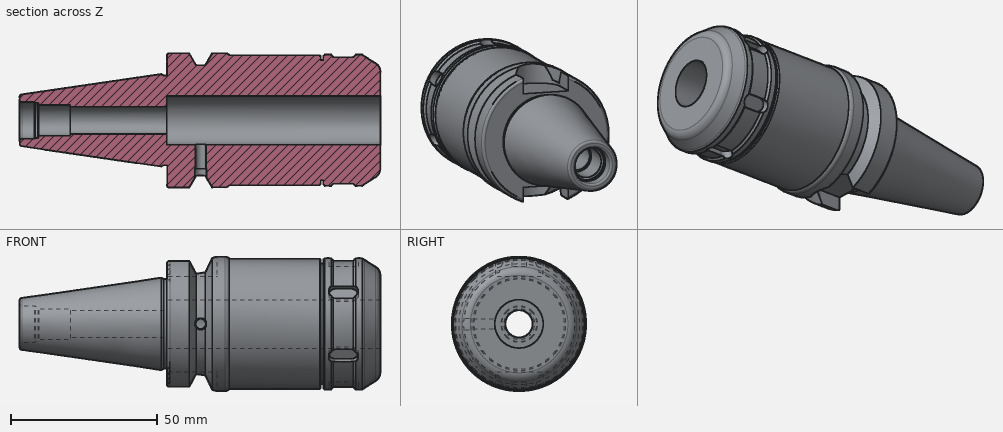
import cadquery as cq
import math

LENGTH = 123.4

TAPER_LENGTH = 48.4
TAPER_RATE = 7 / 24
TAPER_LARGE_D = 31.7
SHANK_ROUND = 1.0
NECK_D = 30.8
NECK_START = 49.2

FLANGE_D = 46.0
FLANGE_START = 50.3
FLANGE_FRONT_ROUND = 1.0
FLANGE_BACK_ROUND = 2.0
FLANGE_BACK_ROUND_START = 70.2
GROOVE_CENTER = 62.0
GROOVE_FLOOR_WIDTH = 3.2
GROOVE_FLOOR_D = 38.0
GROOVE_FLANK_ANGLE = 60

BODY_D = 44.5
BODY_END = 103.0
BODY_CHAMFER = 0.5
GAP_D = 41.3

NUT_START = 103.8
NUT_D = 45.0
NUT_CHAMFER = 0.6
WAIST_D = 43.4
WAIST_START = 106.5
WAIST_END = 114.9
NOSE_START = 117.1
NOSE_EDGE_D = 43.9
NOSE_EDGE_LENGTH = 0.7
NOSE_FACE_D = 33.3
NOSE_ARC_START = 121.5
NOSE_ARC_D = 39.2
NOSE_ARC_RADIUS = 3.5

SPANNER_SLOTS = 6
SPANNER_SLOT_CENTER = 110.7
SPANNER_SLOT_LENGTH = 10.1
SPANNER_SLOT_WIDTH = 4.8
SPANNER_FLOOR_RADIUS = 19.7

KEY_SLOT_WIDTH = 16.2
KEY_SLOT_END = 67.4
KEY_FLOOR_RADIUS = 16.3

MOUTH_D = 14.1
PILOT_D = 12.5
PILOT_DEPTH = 5.0
LEAD_D = 12.0
LEAD_START = 5.4
LEAD_END = 6.3
THREAD_D = 10.5
THREAD_START = 6.7
CLEARANCE_D = 9.3
CLEARANCE_START = 17.3
REAR_D = 16.5
REAR_START = FLANGE_START

SIDE_HOLE_D = 3.5
SIDE_HOLE_RIM_D = 4.0
SIDE_HOLE_RIM_DEPTH = 2.5

TAPER_SMALL_D = TAPER_LARGE_D - TAPER_LENGTH * TAPER_RATE
GROOVE_FLANK_LENGTH = (FLANGE_D - GROOVE_FLOOR_D) / 2 / math.tan(math.radians(GROOVE_FLANK_ANGLE))
GROOVE_FLOOR_START = GROOVE_CENTER - GROOVE_FLOOR_WIDTH / 2
GROOVE_FLOOR_END = GROOVE_CENTER + GROOVE_FLOOR_WIDTH / 2
BACK_ROUND_DROP = (FLANGE_D - BODY_D) / 2
BACK_ROUND_LENGTH = math.sqrt(2 * FLANGE_BACK_ROUND * BACK_ROUND_DROP - BACK_ROUND_DROP**2)
RIM_DROP = (NUT_D - WAIST_D) / 2


def turned_body():
    """Solid of revolution for the taper, flange, body and nut."""
    profile = (
        cq.Workplane("XY")
        .lineTo(0, TAPER_SMALL_D / 2)
        .lineTo(TAPER_LENGTH, TAPER_LARGE_D / 2)
        .lineTo(NECK_START, NECK_D / 2)
        .lineTo(FLANGE_START, NECK_D / 2)
        .lineTo(FLANGE_START, FLANGE_D / 2 - FLANGE_FRONT_ROUND)
        .radiusArc((FLANGE_START + FLANGE_FRONT_ROUND, FLANGE_D / 2), FLANGE_FRONT_ROUND)
        .lineTo(GROOVE_FLOOR_START - GROOVE_FLANK_LENGTH, FLANGE_D / 2)
        .lineTo(GROOVE_FLOOR_START, GROOVE_FLOOR_D / 2)
        .lineTo(GROOVE_FLOOR_END, GROOVE_FLOOR_D / 2)
        .lineTo(GROOVE_FLOOR_END + GROOVE_FLANK_LENGTH, FLANGE_D / 2)
        .lineTo(FLANGE_BACK_ROUND_START, FLANGE_D / 2)
        .radiusArc((FLANGE_BACK_ROUND_START + BACK_ROUND_LENGTH, BODY_D / 2), FLANGE_BACK_ROUND)
        .lineTo(BODY_END - BODY_CHAMFER, BODY_D / 2)
        .lineTo(BODY_END, BODY_D / 2 - BODY_CHAMFER)
        .lineTo(BODY_END, GAP_D / 2)
        .lineTo(NUT_START, GAP_D / 2)
        .lineTo(NUT_START, NUT_D / 2 - NUT_CHAMFER)
        .lineTo(NUT_START + NUT_CHAMFER, NUT_D / 2)
        .lineTo(WAIST_START, NUT_D / 2)
        .lineTo(WAIST_START + RIM_DROP, WAIST_D / 2)
        .lineTo(WAIST_END - RIM_DROP, WAIST_D / 2)
        .lineTo(WAIST_END, NUT_D / 2)
        .lineTo(NOSE_START, NUT_D / 2)
        .lineTo(NOSE_START + NOSE_EDGE_LENGTH, NOSE_EDGE_D / 2)
        .lineTo(NOSE_ARC_START, NOSE_ARC_D / 2)
        .radiusArc((LENGTH, NOSE_FACE_D / 2), NOSE_ARC_RADIUS)
        .lineTo(LENGTH, 0)
        .close()
    )
    body = profile.revolve(360, (0, 0, 0), (1, 0, 0))
    return body.faces("<X").edges().fillet(SHANK_ROUND)


def bore():
    """Stepped through bore: rounded mouth, pilot, lead, thread core, clearance and wide rear part."""
    mouth_round = (MOUTH_D - PILOT_D) / 2
    return (
        cq.Workplane("XY")
        .lineTo(0, MOUTH_D / 2)
        .radiusArc((mouth_round, PILOT_D / 2), -mouth_round)
        .lineTo(PILOT_DEPTH, PILOT_D / 2)
        .lineTo(LEAD_START, LEAD_D / 2)
        .lineTo(LEAD_END, LEAD_D / 2)
        .lineTo(THREAD_START, THREAD_D / 2)
        .lineTo(CLEARANCE_START, THREAD_D / 2)
        .lineTo(CLEARANCE_START, CLEARANCE_D / 2)
        .lineTo(REAR_START, CLEARANCE_D / 2)
        .lineTo(REAR_START, REAR_D / 2)
        .lineTo(LENGTH, REAR_D / 2)
        .lineTo(LENGTH, 0)
        .close()
        .revolve(360, (0, 0, 0), (1, 0, 0))
    )


def key_slot():
    """Round-ended drive slot, open toward the taper, on the +Z side."""
    half = KEY_SLOT_WIDTH / 2
    arc_center = KEY_SLOT_END - half
    return (
        cq.Workplane("XY", origin=(0, 0, KEY_FLOOR_RADIUS))
        .moveTo(NECK_START, -half)
        .lineTo(arc_center, -half)
        .threePointArc((KEY_SLOT_END, 0), (arc_center, half))
        .lineTo(NECK_START, half)
        .close()
        .extrude(FLANGE_D / 2)
    )


def spanner_slot():
    """Flat-floored stadium slot across the nut waist, on the +Z side."""
    return (
        cq.Workplane("XY", origin=(SPANNER_SLOT_CENTER, 0, SPANNER_FLOOR_RADIUS))
        .slot2D(SPANNER_SLOT_LENGTH, SPANNER_SLOT_WIDTH)
        .extrude(NUT_D / 2)
    )


def side_hole():
    """Stepped hole from the groove floor on the -Y side into the bore."""
    floor_radius = GROOVE_FLOOR_D / 2
    plane = cq.Plane(origin=(GROOVE_CENTER, 0, 0), xDir=(1, 0, 0), normal=(0, -1, 0))
    hole = cq.Workplane(plane).circle(SIDE_HOLE_D / 2).extrude(FLANGE_D / 2)
    rim = (
        cq.Workplane(plane)
        .workplane(offset=floor_radius - SIDE_HOLE_RIM_DEPTH)
        .circle(SIDE_HOLE_RIM_D / 2)
        .extrude(FLANGE_D / 2)
    )
    return hole.union(rim)


def around_axis(shape, count):
    """Copies of a shape evenly spaced around the holder axis."""
    return [shape.rotate((0, 0, 0), (1, 0, 0), 360 * i / count) for i in range(count)]


result = turned_body().cut(bore()).cut(side_hole())
for slot in around_axis(key_slot(), 2) + around_axis(spanner_slot(), SPANNER_SLOTS):
    result = result.cut(slot)